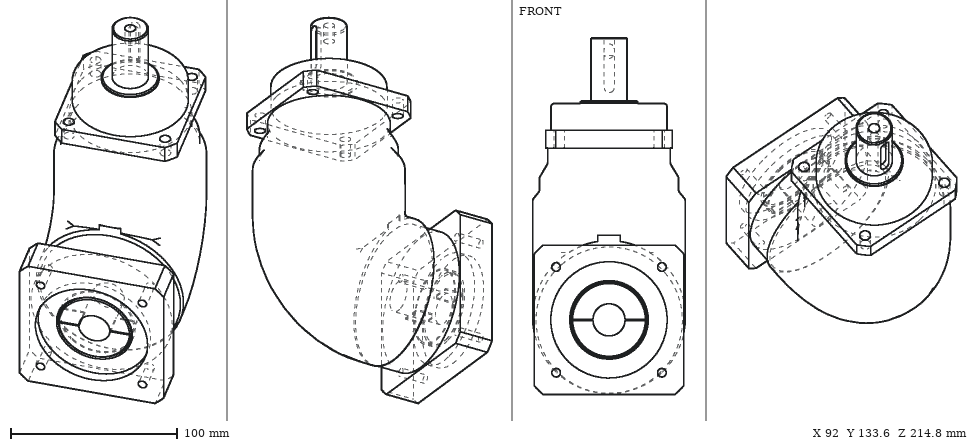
import cadquery as cq
import math


overall_height = 214.8
input_flange_width = 90.0
shaft_top_z = overall_height - input_flange_width / 2
input_face_y = -87.6

housing_radius = 46.0
bend_center_y = -38.9
bend_center_z = 40.5
collar_center_z = bend_center_z + bend_center_y
collar_face_y = -housing_radius
pad_width = 13.3
pad_top_z = 51.0
pad_depth = 4.3

housing_shoulder_z = 72.4
step_radius = 41.9
step_bottom_z = 77.3
step_top_z = 85.7
head_radius = 37.0
head_bottom_z = 93.9
shoulder_fillet = 2.5
output_flange_bottom_z = 103.3
output_flange_top_z = 114.0
pilot_radius = 35.0
pilot_top_z = 130.2
pilot_fillet = 2.1
seal_radius = 17.5
seal_height = 1.5
seal_chamfer = 0.9

output_flange_width = 76.3
output_flange_corner_radius = 49.8
output_hole_offset = 30.0
output_hole_radius = 3.2

shaft_radius = 11.0
shaft_chamfer = 0.9
center_hole_radius = 3.2
center_hole_depth = 10.7
keyway_width = 6.0
keyway_depth = 3.5
keyway_bottom_z = 136.8
keyway_top_z = 166.0

neck_radius = 44.0
input_flange_corner_radius = 60.0
input_flange_thickness = 22.5
input_flange_back_y = input_face_y + input_flange_thickness
input_hole_offset = 31.8
input_hole_radius = 2.5
input_hole_depth = 17.2
recess_radius = 35.0
recess_depth = 6.5
recess_floor_y = input_face_y + recess_depth

hub_radius = 22.8
hub_gap_radius = 23.6
hub_gap_depth = 6.5
hub_chamfer = 0.9
hub_bore_radius = 9.7
hub_bore_depth = 32.2
hub_slit_width = 0.9
hub_slit_depth = 12.9

drill_tip_angle = 118.0


def cylinder_z(radius, bottom_z, top_z):
    return cq.Workplane("XY", origin=(0, 0, bottom_z)).circle(radius).extrude(top_z - bottom_z)


def cylinder_y(radius, start_y, end_y, center_z=0.0):
    """Cylinder along Y between two levels given in either order."""
    plane = cq.Workplane("XZ", origin=(0, start_y, center_z))
    return plane.circle(radius).extrude(start_y - end_y)


def drilled_hole(radius, depth):
    """Blind hole cutter with its mouth at z = 0, going down to a conical tip."""
    tip_length = radius / math.tan(math.radians(drill_tip_angle / 2))
    profile = [(0, 0), (radius, 0), (radius, -depth), (0, -depth - tip_length)]
    return cq.Workplane("XZ").polyline(profile).close().revolve(360, (0, 0, 0), (0, 1, 0))


def square_corners(offset):
    return [(sx * offset, sy * offset) for sx in (-1, 1) for sy in (-1, 1)]


def fillet_ring(body, level, fillet_radius):
    """Round the circular edge about Z nearest to the given level."""
    ring = cq.selectors.NearestToPointSelector((0, 0, level))
    return body.edges("%CIRCLE").edges(ring).fillet(fillet_radius)


def make_elbow():
    bend_reach = housing_radius - bend_center_y
    edge_half_width = math.sqrt(housing_radius**2 - bend_center_y**2)
    return (
        cq.Workplane("XY", origin=(0, bend_center_y, bend_center_z))
        .moveTo(-edge_half_width, 0)
        .threePointArc((0, bend_reach), (edge_half_width, 0))
        .close()
        .revolve(90, (0, 0, 0), (-1, 0, 0))
    )


def make_collar():
    collar = cylinder_y(housing_radius, bend_center_y, collar_face_y, collar_center_z)
    pad = cq.Workplane("XY", origin=(0, collar_face_y + pad_depth / 2, collar_center_z)).box(
        pad_width, pad_depth, pad_top_z - collar_center_z, centered=(True, True, False)
    )
    return collar.union(pad)


def make_output_head():
    outline = [
        (0, bend_center_z),
        (housing_radius, bend_center_z),
        (housing_radius, housing_shoulder_z),
        (step_radius, step_bottom_z),
        (step_radius, step_top_z),
        (head_radius, head_bottom_z),
        (head_radius, output_flange_bottom_z),
        (0, output_flange_bottom_z),
    ]
    head = cq.Workplane("XZ").polyline(outline).close().revolve(360, (0, 0, 0), (0, 1, 0))
    for level in (housing_shoulder_z, step_bottom_z, step_top_z, head_bottom_z):
        head = fillet_ring(head, level, shoulder_fillet)
    pilot = cylinder_z(pilot_radius, output_flange_bottom_z, pilot_top_z)
    pilot = pilot.faces(">Z").edges().fillet(pilot_fillet)
    seal = cylinder_z(seal_radius, pilot_top_z, pilot_top_z + seal_height)
    seal = seal.faces(">Z").chamfer(seal_chamfer)
    return head.union(pilot).union(seal)


def make_output_flange():
    thickness = output_flange_top_z - output_flange_bottom_z
    flange = cq.Workplane("XY", origin=(0, 0, output_flange_bottom_z))
    flange = flange.rect(output_flange_width, output_flange_width).extrude(thickness)
    flange = flange.intersect(
        cylinder_z(output_flange_corner_radius, output_flange_bottom_z, output_flange_top_z)
    )
    holes = flange.faces(">Z").workplane().pushPoints(square_corners(output_hole_offset))
    return holes.circle(output_hole_radius).cutThruAll()


def make_shaft():
    shaft = cylinder_z(shaft_radius, pilot_top_z, shaft_top_z).faces(">Z").chamfer(shaft_chamfer)
    center_hole = drilled_hole(center_hole_radius, center_hole_depth)
    keyway_middle_z = (keyway_bottom_z + keyway_top_z) / 2
    keyway = (
        cq.Workplane("XZ", origin=(0, shaft_radius - keyway_depth, keyway_middle_z))
        .slot2D(keyway_top_z - keyway_bottom_z, keyway_width, 90)
        .extrude(-2 * keyway_depth)
    )
    return shaft.cut(center_hole.translate((0, 0, shaft_top_z))).cut(keyway)


def make_input_flange():
    neck = cylinder_y(neck_radius, bend_center_y, input_flange_back_y)
    flange = cq.Workplane("XZ", origin=(0, input_flange_back_y, 0))
    flange = flange.rect(input_flange_width, input_flange_width).extrude(input_flange_thickness)
    flange = flange.intersect(
        cylinder_y(input_flange_corner_radius, input_flange_back_y, input_face_y)
    )
    flange = flange.union(neck)
    bolt_hole = drilled_hole(input_hole_radius, input_hole_depth).rotate((0, 0, 0), (1, 0, 0), 90)
    for x, z in square_corners(input_hole_offset):
        flange = flange.cut(bolt_hole.translate((x, input_face_y, z)))
    flange = flange.cut(cylinder_y(recess_radius, recess_floor_y, input_face_y))
    return flange.cut(cylinder_y(hub_gap_radius, recess_floor_y + hub_gap_depth, recess_floor_y))


def make_hub():
    hub = cylinder_y(hub_radius, recess_floor_y + hub_gap_depth, recess_floor_y)
    return hub.faces("<Y").chamfer(hub_chamfer)


def make_hub_cuts():
    bore = cylinder_y(hub_bore_radius, recess_floor_y + hub_bore_depth, recess_floor_y)
    slit = cq.Workplane("XZ", origin=(0, recess_floor_y, 0))
    slit = slit.rect(2 * hub_radius, hub_slit_width).extrude(-hub_slit_depth)
    return bore.union(slit)


result = (
    make_elbow()
    .union(make_output_head())
    .union(make_output_flange())
    .union(make_shaft())
    .union(make_collar())
    .union(make_input_flange())
    .union(make_hub())
    .cut(make_hub_cuts())
)